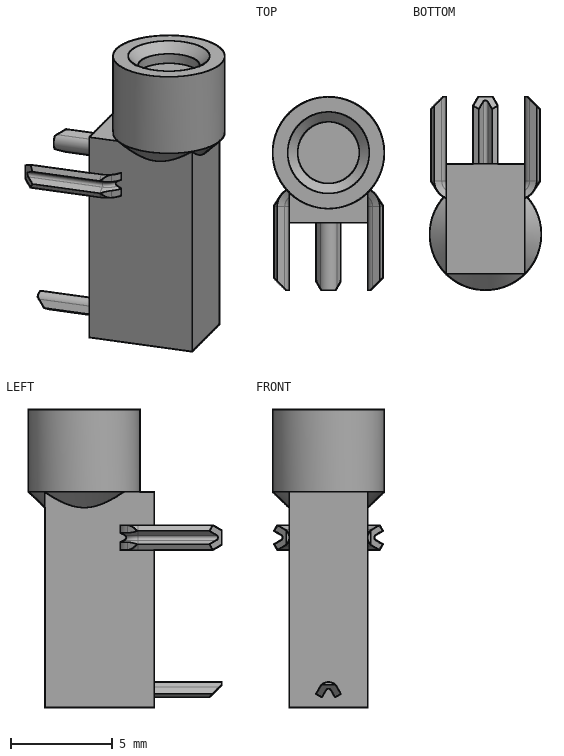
import cadquery as cq
import math


body_width = 3.9
body_back_y = 1.95
body_front_y = -3.48
body_height = 10.68

overall_height = 14.76
socket_radius = 2.77
cone_height = 2.65
mouth_radius = 2.02
bore_radius = 1.525
countersink_depth = mouth_radius - bore_radius
bore_depth = 1.0

sheet_thickness = 0.335
fold_outer_radius = 0.475
fold_inner_radius = fold_outer_radius - sheet_thickness
pin_half_width = 0.617
arm_angle = math.radians(30)
pin_end_y = -6.81
tip_flat = 0.15

side_pin_sink = 0.01
side_pin_z = body_height - 2.265
bend_y = -2.66
bend_radius = 0.35
bend_trim_radius = 0.95
trim_angle = math.radians(33)

lower_pin_top_z = 1.27


def make_body():
    length = body_back_y - body_front_y
    center_y = (body_back_y + body_front_y) / 2
    return (
        cq.Workplane("XY")
        .center(0, center_y)
        .rect(body_width, length)
        .extrude(body_height)
    )


def make_socket():
    """Cylinder with a cone below it that runs into the body."""
    return (
        cq.Workplane("XZ")
        .moveTo(0, body_height - cone_height)
        .lineTo(socket_radius, body_height)
        .lineTo(socket_radius, overall_height)
        .lineTo(0, overall_height)
        .close()
        .revolve(360, (0, 0, 0), (0, 1, 0))
    )


def make_bore():
    return (
        cq.Workplane("XZ")
        .moveTo(0, overall_height - bore_depth)
        .lineTo(bore_radius, overall_height - bore_depth)
        .lineTo(bore_radius, overall_height - countersink_depth)
        .lineTo(mouth_radius, overall_height)
        .lineTo(0, overall_height)
        .close()
        .revolve(360, (0, 0, 0), (0, 1, 0))
    )


def pin_section(plane_y):
    """Folded section in an XZ plane: back of the fold at X = 0, arms opening toward +X."""
    sine = math.sin(arm_angle)
    cosine = math.cos(arm_angle)
    fold_center = fold_outer_radius
    outer_tip_x = fold_center - fold_outer_radius / sine + pin_half_width * cosine / sine
    inner_tip_x = outer_tip_x + sheet_thickness * sine
    inner_tip_z = pin_half_width - sheet_thickness * cosine
    outer_tangent = (fold_center - fold_outer_radius * sine, fold_outer_radius * cosine)
    inner_tangent = (fold_center - fold_inner_radius * sine, fold_inner_radius * cosine)
    return (
        cq.Workplane("XZ", origin=(0, plane_y, 0))
        .moveTo(outer_tip_x, pin_half_width)
        .lineTo(*outer_tangent)
        .threePointArc((0, 0), (outer_tangent[0], -outer_tangent[1]))
        .lineTo(outer_tip_x, -pin_half_width)
        .lineTo(inner_tip_x, -inner_tip_z)
        .lineTo(inner_tangent[0], -inner_tangent[1])
        .threePointArc((sheet_thickness, 0), inner_tangent)
        .lineTo(inner_tip_x, inner_tip_z)
        .close()
    )


def straight_pin(start_y):
    """Pin running toward -Y, its open side cut back at 45 degrees at the tip."""
    pin = pin_section(start_y).extrude(start_y - pin_end_y)
    cut_size = 2 * pin_half_width
    tip_cut = (
        cq.Workplane("XY")
        .moveTo(tip_flat, pin_end_y)
        .lineTo(tip_flat + cut_size, pin_end_y)
        .lineTo(tip_flat + cut_size, pin_end_y + cut_size)
        .close()
        .extrude(pin_half_width, both=True)
    )
    return pin.cut(tip_cut)


def pin_bend():
    """Quarter bend leading the pin into the body, its outer side trimmed round."""
    axis_x = -bend_radius
    bend = pin_section(bend_y).revolve(90, (axis_x, 0, 0), (axis_x, 1, 0))

    def trim_point(angle):
        return (
            axis_x + bend_trim_radius * math.cos(angle),
            bend_y + bend_trim_radius * math.sin(angle),
        )

    arc_end = math.pi / 2
    trim = (
        cq.Workplane("XY")
        .moveTo(axis_x, bend_y)
        .lineTo(axis_x + bend_trim_radius / math.cos(trim_angle), bend_y)
        .lineTo(*trim_point(trim_angle))
        .threePointArc(trim_point((trim_angle + arc_end) / 2), trim_point(arc_end))
        .close()
        .extrude(pin_half_width, both=True)
    )
    return bend.intersect(trim)


def make_side_pin():
    """Pin on the +X side, the back of its fold just inside the body side."""
    fold_back_x = body_width / 2 - side_pin_sink
    return straight_pin(bend_y).union(pin_bend()).translate((fold_back_x, 0, side_pin_z))


def make_lower_pin():
    """Straight pin with its open side facing down."""
    return (
        straight_pin(body_front_y)
        .rotate((0, 0, 0), (0, 1, 0), 90)
        .translate((0, 0, lower_pin_top_z))
    )


side_pin = make_side_pin()
result = (
    make_body()
    .union(make_socket())
    .cut(make_bore())
    .union(side_pin)
    .union(side_pin.mirror("YZ"))
    .union(make_lower_pin())
)